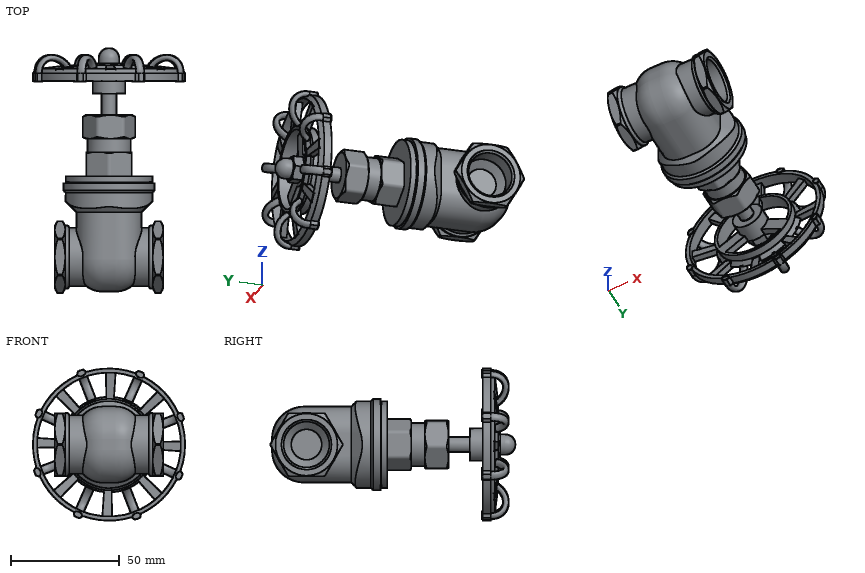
import cadquery as cq
import math


port_half_length = 25.0
port_hex_flats = 29.0
port_hex_corner_diameter = 33.1
port_hex_length = 5.0
port_face_step = 2.3
pipe_diameter = 27.0
pipe_root_length = 1.65
pipe_root_height = 1.0
port_bore_diameter = 21.0
port_bore_depth = 9.5
port_bore_chamfer = 1.0
seat_diameter = 14.0
chamfer_slope = math.tan(math.radians(30))
corner_ratio = 1 / math.cos(math.radians(30))

chamber_width = 30.0
chamber_height = 35.0
chamber_bottom = -15.9
chamber_bottom_radius = 14.9
chamber_corner_radius = 12.0
shoulder_bottom = 20.6
shoulder_spread = 5.0
shoulder_top = shoulder_bottom + shoulder_spread

collar_diameter = 40.0
collar_ring_diameter = 42.0
collar_ring_bottom = 29.6
collar_ring_chamfer = 1.0
groove_bottom = 34.0
groove_top = 34.4
groove_diameter = 37.0
bonnet_bottom = 37.2
bonnet_hex_flats = 21.0
bonnet_hex_turn = 90.0
bonnet_hex_top = 48.2
neck_diameter = 20.0
gland_nut_bottom = 54.3
gland_nut_top = 65.3
gland_nut_flats = 21.5
gland_nut_turn = 4.0
gland_nut_chamfer = 1.5
nut_corner_radius = 2.0
nut_chamfer = 1.0
stem_diameter = 7.0
stem_tip_diameter = 6.0
stem_tip_top = 89.1

rim_radius = 35.0
rim_inner_radius = 33.0
rim_bottom = 80.85
rim_edge = 84.55
rim_top = rim_edge + rim_radius - rim_inner_radius
hub_diameter = 15.0
hub_bottom = 75.1
hub_top = 84.1
ring_radius = 22.0
ring_lip_radius = 20.0
ring_inner_radius = 18.5
ring_height = 7.3
ring_top = rim_bottom + ring_height
inner_arm_count = 3
inner_arm_width = 6.5
first_arm_angle = -90.0
joint_overlap = 0.5
rim_overlap = 0.2
spoke_count = 8
spoke_turn = 1.4
spoke_inner_width = 3.4
spoke_outer_width = 4.6
spoke_depth = 3.2
loop_width = 4.0
loop_thickness = 2.7
loop_foot_radius = 35.2
loop_foot_bottom = 80.5
loop_boss_reach = 36.5
loop_boss_tip_width = 2.6
loop_boss_base_width = 6.0
loop_bend_radius = 6.4
loop_bend_height = 85.2
loop_inner_radius = 20.5
loop_inner_height = 86.8

cap_hex_flats = 11.0
cap_hex_top = 89.1
cap_hex_turn = -6.0
cap_dome_diameter = 9.5
cap_top = 96.04


def along_y(bottom, turn=0.0):
    """Workplane across the stem axis at height `bottom`; extrusions go towards +Y."""
    plane = cq.Plane(origin=(0, bottom, 0), xDir=(1, 0, 0), normal=(0, 1, 0))
    return cq.Workplane(plane.rotated((0, 0, turn)))


def cylinder_y(diameter, bottom, top):
    return along_y(bottom).circle(diameter / 2).extrude(top - bottom)


def revolve_y(points):
    """Solid of revolution about the stem axis from (radius, height) points."""
    return cq.Workplane("XY").polyline(points).close().revolve(360, (0, 0, 0), (0, 1, 0))


def revolve_x(points):
    """Solid of revolution about the port axis from (position, radius) points."""
    return cq.Workplane("XY").polyline(points).close().revolve(360, (0, 0, 0), (1, 0, 0))


def chamfer_cone(corner_radius, bottom, top, bottom_size, top_size):
    """Cylinder with 30 degree end chamfers that trims the corners of a hexagon."""
    points = [(0, top), (0, bottom), (corner_radius - bottom_size, bottom)]
    if bottom_size:
        points.append((corner_radius, bottom + bottom_size * chamfer_slope))
    points.append((corner_radius, top - top_size * chamfer_slope))
    points.append((corner_radius - top_size, top))
    return revolve_y(points)


def hexagon_y(flats, bottom, top, turn, bottom_chamfer, top_chamfer, edge_radius):
    """Hexagonal prism about the stem axis with rounded corners and chamfered ends."""
    corner_diameter = flats * corner_ratio
    prism = along_y(bottom, turn).polygon(6, corner_diameter).extrude(top - bottom)
    corner_radius = corner_diameter / 2
    if edge_radius:
        prism = prism.edges("|Y").fillet(edge_radius)
        corner_radius -= edge_radius * (corner_ratio - 1)
    return prism.intersect(chamfer_cone(corner_radius, bottom, top, bottom_chamfer, top_chamfer))


def rounded_section(spread):
    """Cross-section of the gate chamber, grown outwards and lifted by `spread`."""
    return (
        cq.Sketch()
        .rect(chamber_width + 2 * spread, chamber_height + 2 * spread)
        .vertices()
        .fillet(chamber_corner_radius + spread)
        .moved(cq.Location(cq.Vector(0, 0, spread)))
    )


def gate_chamber():
    """Rounded box whose bottom runs round in the YZ plane, filleted along both side outlines."""
    block = (
        cq.Workplane("XY")
        .box(chamber_width, shoulder_bottom - chamber_bottom, chamber_height)
        .translate((0, (shoulder_bottom + chamber_bottom) / 2, 0))
    )
    block = block.edges("|X and <Y").fillet(chamber_bottom_radius)
    outline = block.faces("<X or >X").edges().edges("not(>Y)")
    return block.newObject(outline.vals()).fillet(chamber_corner_radius)


def shoulder():
    """45 degree flare from the chamber section, trimmed to the collar diameter."""
    flare = (
        along_y(shoulder_bottom)
        .placeSketch(rounded_section(0), rounded_section(shoulder_spread))
        .loft(ruled=True)
    )
    return flare.intersect(cylinder_y(collar_diameter, shoulder_bottom, shoulder_top))


def pipe():
    """Straight pipe through the chamber, joining both ports."""
    half_length = port_half_length - port_hex_length / 2
    return cq.Workplane("YZ").circle(pipe_diameter / 2).extrude(half_length, both=True)


def port_end():
    """Hexagon at the +X end with its flare onto the pipe."""
    inner = port_half_length - port_hex_length
    outer = port_half_length
    corner = port_hex_corner_diameter / 2
    rise = port_face_step * chamfer_slope
    prism = (
        cq.Workplane("YZ", origin=(inner, 0, 0))
        .polygon(6, port_hex_flats * corner_ratio)
        .extrude(port_hex_length)
    )
    trim = revolve_x([
        (inner, 0),
        (inner, corner - port_face_step),
        (inner + rise, corner),
        (outer - rise, corner),
        (outer, corner - port_face_step),
        (outer, 0),
    ])
    pipe_radius = pipe_diameter / 2
    flare = (
        cq.Workplane("XY")
        .moveTo(inner - pipe_root_length, 0)
        .lineTo(inner - pipe_root_length, pipe_radius)
        .tangentArcPoint((inner, pipe_radius + pipe_root_height), relative=False)
        .lineTo(inner, 0)
        .close()
        .revolve(360, (0, 0, 0), (1, 0, 0))
    )
    return prism.intersect(trim).union(flare)


def port_bore():
    """Bore at the +X end: chamfered mouth, straight bore and a cone down to the closed gate."""
    bore = port_bore_diameter / 2
    seat = seat_diameter / 2
    bottom = port_half_length - port_bore_depth
    gate_face = bottom - (bore - seat)
    return revolve_x([
        (port_half_length, 0),
        (port_half_length, bore + port_bore_chamfer),
        (port_half_length - port_bore_chamfer, bore),
        (bottom, bore),
        (gate_face, seat),
        (gate_face, 0),
    ])


def both_ends(shape):
    return shape.union(shape.mirror("YZ"))


def collar_and_bonnet():
    """Collar with its ring and groove, then the bonnet hexagon, neck and gland nut."""
    ring = collar_ring_diameter / 2
    collar = revolve_y([
        (0, shoulder_top),
        (collar_diameter / 2, shoulder_top),
        (collar_diameter / 2, collar_ring_bottom),
        (ring, collar_ring_bottom + collar_ring_chamfer),
        (ring, groove_bottom),
        (groove_diameter / 2, groove_bottom),
        (groove_diameter / 2, groove_top),
        (collar_diameter / 2, groove_top),
        (collar_diameter / 2, bonnet_bottom),
        (0, bonnet_bottom),
    ])
    bonnet_hex = hexagon_y(
        bonnet_hex_flats, bonnet_bottom, bonnet_hex_top, bonnet_hex_turn,
        0, nut_chamfer, nut_corner_radius,
    )
    gland_nut = hexagon_y(
        gland_nut_flats, gland_nut_bottom, gland_nut_top, gland_nut_turn,
        gland_nut_chamfer, gland_nut_chamfer, nut_corner_radius,
    )
    neck = cylinder_y(neck_diameter, bonnet_hex_top, gland_nut_bottom)
    return collar.union(bonnet_hex).union(neck).union(gland_nut)


def stem():
    shaft = cylinder_y(stem_diameter, gland_nut_top, hub_bottom)
    return shaft.union(cylinder_y(stem_tip_diameter, hub_bottom, stem_tip_top))


def valve_body():
    return (
        gate_chamber()
        .union(pipe())
        .union(shoulder())
        .union(both_ends(port_end()))
        .cut(both_ends(port_bore()))
        .union(collar_and_bonnet())
        .union(stem())
    )


def turned(shape, angle):
    return shape.rotate((0, 0, 0), (0, 1, 0), angle)


def rim():
    return revolve_y([
        (rim_inner_radius, rim_bottom),
        (rim_radius, rim_bottom),
        (rim_radius, rim_edge),
        (rim_inner_radius, rim_top),
    ])


def inner_ring():
    return revolve_y([
        (ring_inner_radius, rim_bottom),
        (ring_lip_radius, rim_bottom),
        (ring_lip_radius, rim_edge),
        (ring_radius, rim_edge + ring_radius - ring_lip_radius),
        (ring_lip_radius, ring_top),
        (ring_inner_radius, ring_top),
    ])


def inner_arm():
    """Flat arm from the hub to the inner ring, pointing along +X."""
    reach = ring_inner_radius + joint_overlap
    return (
        cq.Workplane("XY", origin=(reach / 2, (rim_bottom + hub_top) / 2, 0))
        .box(reach, hub_top - rim_bottom, inner_arm_width)
    )


def spoke():
    """Straight spoke from the inner ring to the rim, widening outwards, pointing along +X."""
    start = ring_inner_radius + joint_overlap
    end = rim_inner_radius + rim_overlap
    plan = (
        along_y(rim_bottom)
        .polyline([
            (start, -spoke_inner_width / 2),
            (end, -spoke_outer_width / 2),
            (end, spoke_outer_width / 2),
            (start, spoke_inner_width / 2),
        ])
        .close()
        .extrude(ring_height)
    )
    side = (
        cq.Workplane("XY")
        .polyline([
            (start, ring_top - spoke_depth),
            (end, rim_top - spoke_depth),
            (end, rim_top - rim_overlap),
            (start, ring_top),
        ])
        .close()
        .extrude(spoke_outer_width, both=True)
    )
    return plan.intersect(side)


def loop_spoke():
    """Finger loop that rises from a boss on the rim and comes down on the inner ring, along +X."""
    bend_center = loop_foot_radius - loop_bend_radius
    path = (
        cq.Workplane("XY")
        .moveTo(loop_foot_radius, loop_foot_bottom)
        .lineTo(loop_foot_radius, loop_bend_height)
        .tangentArcPoint((bend_center, loop_bend_height + loop_bend_radius), relative=False)
        .tangentArcPoint((loop_inner_radius, loop_inner_height), relative=False)
    )
    tube = (
        along_y(loop_foot_bottom)
        .center(loop_foot_radius, 0)
        .ellipse(loop_thickness / 2, loop_width / 2)
        .sweep(path)
    )
    base_radius = (rim_radius + rim_inner_radius) / 2
    boss = (
        along_y(rim_bottom)
        .polyline([
            (base_radius, -loop_boss_base_width / 2),
            (loop_boss_reach, -loop_boss_tip_width / 2),
            (loop_boss_reach, loop_boss_tip_width / 2),
            (base_radius, loop_boss_base_width / 2),
        ])
        .close()
        .extrude(rim_edge - rim_bottom)
    )
    return tube.union(boss)


def handwheel():
    wheel = rim().union(inner_ring()).union(cylinder_y(hub_diameter, hub_bottom, hub_top))
    for number in range(inner_arm_count):
        wheel = wheel.union(turned(inner_arm(), first_arm_angle + number * 360 / inner_arm_count))
    pitch = 360 / spoke_count
    for number in range(spoke_count):
        wheel = wheel.union(turned(spoke(), spoke_turn + number * pitch))
        wheel = wheel.union(turned(loop_spoke(), spoke_turn + (number + 0.5) * pitch))
    return wheel.cut(cylinder_y(stem_tip_diameter, hub_bottom, hub_top))


def cap_nut():
    """Domed hexagon nut that closes over the stem tip."""
    dome_radius = cap_dome_diameter / 2
    dome_center = cap_top - dome_radius
    base = hexagon_y(cap_hex_flats, hub_top, cap_hex_top, cap_hex_turn, 0, nut_chamfer, 0)
    shank = cylinder_y(cap_dome_diameter, cap_hex_top, dome_center)
    dome = cq.Workplane("XY").sphere(dome_radius).translate((0, dome_center, 0))
    hole = cylinder_y(stem_tip_diameter, hub_top, stem_tip_top)
    return base.union(shank).union(dome).cut(hole)


result = cq.Compound.makeCompound([valve_body().val(), handwheel().val(), cap_nut().val()])